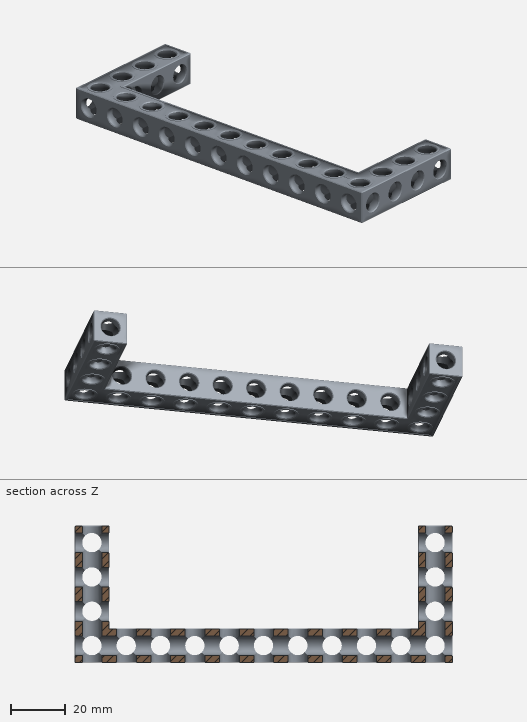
import cadquery as cq

length = 137.5
long_cells = 11
arm_cells = 4
pitch = length / long_cells
height = pitch
arm_length = arm_cells * pitch
middle = pitch / 2

edge_chamfer = 0.3

hole_diameter = 7.0
hole_chamfer = 0.3

rim_width = 1.1
collar_diameter = 9.2
recess_depth = 0.2
seam_width = 0.3
seam_depth = 0.1


def u_prism(inset, thickness):
    """U-shaped prism standing on Z = 0, its outline moved inward by the inset on every side."""
    outer_left = inset
    outer_right = length - inset
    inner_left = pitch - inset
    inner_right = length - pitch + inset
    front = inset
    bar_back = pitch - inset
    arm_back = arm_length - inset
    points = [
        (outer_left, front),
        (outer_right, front),
        (outer_right, arm_back),
        (inner_right, arm_back),
        (inner_right, bar_back),
        (inner_left, bar_back),
        (inner_left, arm_back),
        (outer_left, arm_back),
    ]
    return cq.Workplane("XY").polyline(points).close().extrude(thickness)


def cell_centers(count):
    """Middles of the cells in a row, measured from the outer corner."""
    return [(i + 0.5) * pitch for i in range(count)]


def hole_cutter(start, direction, span):
    """Cutter for a through hole with a small chamfer at both mouths."""
    bore = hole_diameter / 2
    mouth = bore + hole_chamfer
    profile = [
        (0, 0),
        (mouth, 0),
        (bore, hole_chamfer),
        (bore, span - hole_chamfer),
        (mouth, span),
        (0, span),
    ]
    upright = cq.Workplane("XZ").polyline(profile).close().revolve(360, (0, 0), (0, 1))
    return upright.val().moved(cq.Plane(origin=start, normal=direction).location)


long_row = cell_centers(long_cells)
arm_row = cell_centers(arm_cells)
left_arm, right_arm = long_row[0], long_row[-1]

cells = [(x, middle) for x in long_row]
cells += [(x, y) for x in (left_arm, right_arm) for y in arm_row[1:]]

beam = u_prism(0, height).edges("#Z or <X or >X or >Y").chamfer(edge_chamfer)

collars = cq.Workplane("XY").pushPoints(cells).circle(collar_diameter / 2).extrude(recess_depth)
bottom_recess = u_prism(rim_width, recess_depth).cut(collars)

top_recess = bottom_recess.translate((0, 0, height - recess_depth))
beam = beam.cut(bottom_recess).cut(top_recess)

seam = (
    cq.Workplane("XY", origin=(length - pitch, middle, height - recess_depth))
    .rect(pitch - collar_diameter, seam_width)
    .extrude(-seam_depth)
)
beam = beam.cut(seam)

hole_cutters = [hole_cutter((x, y, 0), (0, 0, 1), height) for x, y in cells]

for x in long_row:
    span = arm_length if x in (left_arm, right_arm) else pitch
    hole_cutters.append(hole_cutter((x, 0, middle), (0, 1, 0), span))

hole_cutters.append(hole_cutter((0, middle, middle), (1, 0, 0), length))
for y in arm_row[1:]:
    for arm_side in (0, length - pitch):
        hole_cutters.append(hole_cutter((arm_side, y, middle), (1, 0, 0), pitch))

for cutter in hole_cutters:
    beam = beam.cut(cq.Workplane(cutter))

result = beam